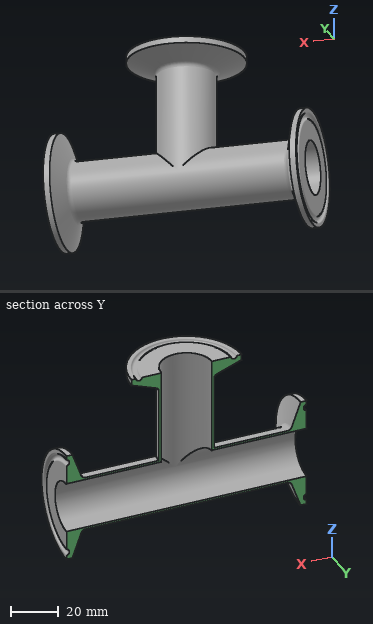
import cadquery as cq
import math

run_length = 110.0
branch_reach = 55.0
tube_radius = 25.4 / 2
bore_radius = 23.0 / 2

flange_radius = 50.5 / 2
rim_thickness = 2.9
cone_angle = math.radians(20)
neck_fillet = 1.9

groove_center_radius = 21.8
groove_radius = 1.3
lip_radius = 0.7
groove_sweep = math.radians(70)


def revolve_about_z(profile):
    return profile.revolve(360, (0, 0, 0), (0, 1, 0))


def flanged_tube(length):
    """Solid tube from the origin up Z, ending in a clamp flange."""
    cone_start = length - rim_thickness
    cone_end = cone_start - (flange_radius - tube_radius) * math.tan(cone_angle)
    body = revolve_about_z(
        cq.Workplane("XZ")
        .lineTo(tube_radius, 0)
        .lineTo(tube_radius, cone_end)
        .lineTo(flange_radius, cone_start)
        .lineTo(flange_radius, length)
        .lineTo(0, length)
        .close()
    )
    neck = cq.selectors.BoxSelector(
        (-tube_radius, -tube_radius, cone_end - 0.1),
        (tube_radius, tube_radius, cone_end + 0.1),
        boundingbox=False,
    )
    neck_edges = body.edges("%CIRCLE").edges(neck)
    return neck_edges.fillet(neck_fillet).cut(gasket_groove(length))


def gasket_groove(face_height):
    """Ring of material removed from a flange face."""
    arc_center = face_height - lip_radius + (groove_radius + lip_radius) * math.cos(groove_sweep)
    half_sweep = groove_sweep / 2

    def channel_point(angle):
        return (
            groove_center_radius + groove_radius * math.sin(angle),
            arc_center - groove_radius * math.cos(angle),
        )

    lip_offset = (groove_radius + lip_radius) * math.sin(groove_sweep)

    def lip_point(side, angle):
        return (
            groove_center_radius + side * (lip_offset - lip_radius * math.sin(angle)),
            face_height - lip_radius + lip_radius * math.cos(angle),
        )

    return revolve_about_z(
        cq.Workplane("XZ")
        .moveTo(*lip_point(-1, 0))
        .threePointArc(lip_point(-1, half_sweep), lip_point(-1, groove_sweep))
        .threePointArc(channel_point(0), channel_point(groove_sweep))
        .threePointArc(lip_point(1, half_sweep), lip_point(1, 0))
        .close()
    )


origin = (0, 0, 0)
y_axis = (0, 1, 0)
run_arm = flanged_tube(run_length / 2)
right_arm = run_arm.rotate(origin, y_axis, 90)
left_arm = run_arm.rotate(origin, y_axis, -90)
body = right_arm.union(left_arm).union(flanged_tube(branch_reach))

run_bore = cq.Workplane("YZ").circle(bore_radius).extrude(run_length / 2, both=True)
branch_bore = cq.Workplane("XY").circle(bore_radius).extrude(branch_reach)

result = body.cut(run_bore).cut(branch_bore)